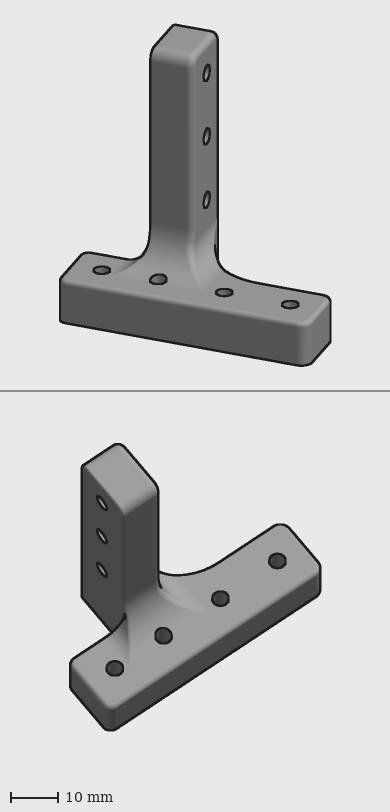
import cadquery as cq
import math

foot_length = 57.0
total_depth = 29.95
bar_width = total_depth / 2
bar_thickness = 10.0
upright_height = 60.0
upright_left = 15.0
upright_right = upright_left + bar_thickness
upright_back = total_depth

left_flare = 5.0
right_flare = 6.0
front_flare = 9.0
web_radius = bar_width

foot_left_corner = 2.0
foot_right_corner = 2.5
foot_top_round = 1.0
upright_corner = 2.5
upright_left_round = 0.55
upright_right_round = 1.5

hole_diameter = 3.5
hole_pitch = 15.0
upright_center_x = (upright_left + upright_right) / 2
first_foot_hole_x = 7.2
top_hole_drop = 7.0
foot_hole_xs = [first_foot_hole_x] + [upright_center_x + i * hole_pitch for i in range(3)]
upright_hole_y = 1.5 * bar_width
upright_hole_zs = [upright_height - top_hole_drop - i * hole_pitch for i in range(3)]


def box(x0, x1, y0, y1, z0, z1):
    return cq.Workplane("XY").box(x1 - x0, y1 - y0, z1 - z0, centered=False).translate((x0, y0, z0))


def quarter_arc_mid(center, radius, sign_u, sign_v):
    """Middle point of a quarter arc in the quadrant given by the two signs."""
    offset = radius * math.sqrt(0.5)
    return center[0] + sign_u * offset, center[1] + sign_v * offset


def make_foot():
    foot = box(0, foot_length, 0, bar_width, 0, bar_thickness)
    foot = foot.edges("|Z and <X").fillet(foot_left_corner)
    return foot.edges("|Z and >X").fillet(foot_right_corner)


def make_upright():
    upright = box(upright_left, upright_right, bar_width, upright_back, 0, upright_height)
    return upright.edges("|X and >Z").fillet(upright_corner)


def web_outline():
    """Plan outline of the gusset filling the corner between the upright and the back of the foot."""
    center = (upright_right + web_radius, upright_back)
    return (
        cq.Workplane("XY")
        .moveTo(upright_right, bar_width)
        .lineTo(upright_right, upright_back)
        .threePointArc(quarter_arc_mid(center, web_radius, -1, -1), (center[0], bar_width))
        .close()
    )


def make_flare():
    """Flared root: a side-to-side profile intersected with a front-to-back profile."""
    top = bar_thickness + front_flare
    left_center = (upright_left - left_flare, bar_thickness + left_flare)
    right_center = (upright_right + right_flare, bar_thickness + right_flare)
    front_center = (bar_width - front_flare, top)
    across = (
        cq.Workplane("XZ", origin=(0, upright_back, 0))
        .moveTo(left_center[0], bar_thickness)
        .threePointArc(quarter_arc_mid(left_center, left_flare, 1, -1), (upright_left, left_center[1]))
        .lineTo(upright_left, top)
        .lineTo(upright_right, top)
        .lineTo(upright_right, right_center[1])
        .threePointArc(quarter_arc_mid(right_center, right_flare, -1, -1), (right_center[0], bar_thickness))
        .close()
        .extrude(upright_back)
    )
    along = (
        cq.Workplane("YZ")
        .moveTo(front_center[0], bar_thickness)
        .threePointArc(quarter_arc_mid(front_center, front_flare, 1, -1), (bar_width, top))
        .lineTo(upright_back, top)
        .lineTo(upright_back, bar_thickness)
        .close()
        .extrude(foot_length)
    )
    plan = box(0, foot_length, 0, bar_width, 0, top).union(web_outline().extrude(top))
    return across.intersect(along).intersect(plan)


def round_edge_chain(solid, edge_middle, radius):
    """Fillet the edge nearest to a point; the round runs on along all edges tangent to it."""
    edges = solid.edges(cq.selectors.NearestToPointSelector(edge_middle))
    return edges.fillet(radius)


def round_web_tip(solid):
    """Round the thin vertical tip of the web with an arc tangent to the web and the back face."""
    radius = upright_right_round
    reach = web_radius + radius
    web_center_x = upright_right + web_radius
    center_x = web_center_x - math.sqrt(reach**2 - radius**2)
    center_y = upright_back - radius
    turn = math.acos(radius / reach)
    tangent_point = (center_x + radius * math.sin(turn), center_y + radius * math.cos(turn))
    arc_mid = (center_x + radius * math.sin(turn / 2), center_y + radius * math.cos(turn / 2))
    waste = (
        cq.Workplane("XY")
        .moveTo(center_x, upright_back)
        .threePointArc(arc_mid, tangent_point)
        .lineTo(upright_right + radius, tangent_point[1])
        .lineTo(upright_right + radius, upright_back)
        .close()
        .extrude(bar_thickness + right_flare)
    )
    return solid.cut(waste)


def drill_foot(solid):
    drills = (
        cq.Workplane("XY")
        .pushPoints([(x, bar_width / 2) for x in foot_hole_xs])
        .circle(hole_diameter / 2)
        .extrude(bar_thickness + front_flare)
    )
    return solid.cut(drills)


def drill_upright(solid):
    drills = (
        cq.Workplane("YZ")
        .pushPoints([(upright_hole_y, z) for z in upright_hole_zs])
        .circle(hole_diameter / 2)
        .extrude(foot_length)
    )
    return solid.cut(drills)


body = make_foot().union(make_upright()).union(web_outline().extrude(bar_thickness))
body = body.union(make_flare())

foot_rim_point = ((foot_left_corner + foot_length - foot_right_corner) / 2, 0, bar_thickness)
front_edge_middle = (bar_thickness + front_flare + upright_height - upright_corner) / 2
outline_rounded = round_edge_chain(body, (upright_left, bar_width, front_edge_middle), upright_left_round)
outline_rounded = round_edge_chain(
    outline_rounded, (upright_right, bar_width, front_edge_middle), upright_right_round
)
rim_rounded = round_edge_chain(body, foot_rim_point, foot_top_round)

rounded_body = round_web_tip(outline_rounded.intersect(rim_rounded))

result = drill_upright(drill_foot(rounded_body))